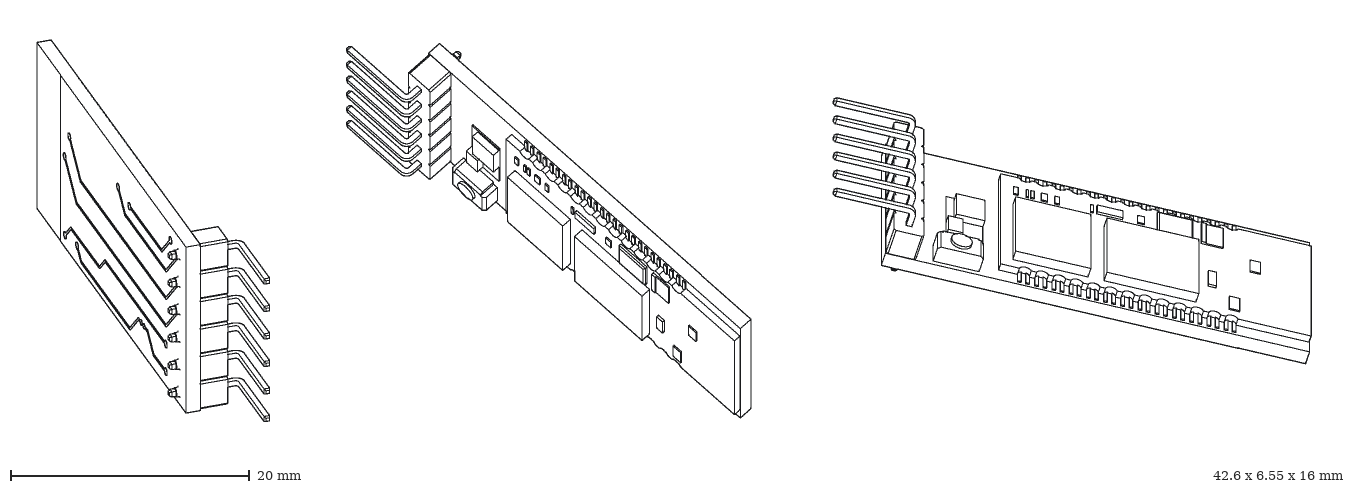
import cadquery as cq


BOARD_LENGTH = 36.95
BOARD_WIDTH = 16.0
BOARD_THICKNESS = 1.3
MASK_START = 5.9
MASK_THICKNESS = 0.03

COPPER_HEIGHT = 0.03
TRACE_WIDTH = 0.2
VIA_DIAMETER = 0.65
JUMPER_PAD_DIAMETER = 0.5

PIN_COUNT = 6
PIN_PITCH = 2.65
PIN_X = 35.6
PIN_WIDTH = 0.5
PIN_REACH = 42.58
PIN_TOP = 5.5
PIN_TAIL = 1.05
PIN_TIP_LENGTH = 0.2
PIN_TIP_WIDTH = 0.3
PIN_BEND_RADIUS = 0.5
HEADER_DEPTH = 2.6
HEADER_HEIGHT = 2.45
HEADER_CHAMFER = 0.18

SOLDER_BASE_RADIUS = 0.66
SOLDER_NECK_RADIUS = 0.4
SOLDER_FILLET_HEIGHT = 0.3
SOLDER_HEIGHT = 0.47

MODULE_START = 0.05
MODULE_END = 27.1
MODULE_WIDTH = 13.2
MODULE_THICKNESS = 0.65
CASTELLATION_COUNT = 13
CASTELLATION_PITCH = 1.5
CASTELLATION_START = 6.95
CASTELLATION_DIAMETER = 1.1
CASTELLATION_OFFSET = 0.2
PAD_EDGE = 7.7
PAD_WIDTH = 1.03
PAD_NOTCH_WIDTH = 0.4
PAD_THICKNESS = 0.12

BUTTON_X = 30.8
BUTTON_LENGTH = 4.0
BUTTON_HEIGHT = 1.55
BUTTON_BACK = -7.52
BUTTON_FRONT = -5.2
BUTTON_END_CHAMFER = 0.25
NOSE_LENGTH = 3.1
NOSE_FRONT = -4.82
NOSE_CHAMFER = 0.25
ACTUATOR_DIAMETER = 1.8
ACTUATOR_TOP = 1.8

BOARD_TOP = BOARD_THICKNESS
MODULE_TOP = BOARD_TOP + MODULE_THICKNESS
PIN_AXIS_Y = PIN_TOP - PIN_WIDTH / 2
PIN_ROWS = [(i - (PIN_COUNT - 1) / 2) * PIN_PITCH for i in range(PIN_COUNT)]


def block(x_range, y_range, z_range):
    """Box between the given limits."""
    spans = [high - low for low, high in (x_range, y_range, z_range)]
    return cq.Workplane().box(*spans, centered=False).translate((x_range[0], y_range[0], z_range[0]))


def plane_at(y):
    """Work plane facing -Y at the given height, with local X, Y along world X, Z."""
    return cq.Workplane("XZ", origin=(0, y, 0))


def disc(center, diameter, y_low, y_high):
    """Round plate along Y with its centre given as (X, Z)."""
    return plane_at(y_high).center(*center).circle(diameter / 2).extrude(y_high - y_low)


def carrier_board():
    half = BOARD_WIDTH / 2
    board = block((0, BOARD_LENGTH), (MASK_THICKNESS, BOARD_TOP), (-half, half))
    mask = block((MASK_START, BOARD_LENGTH), (0, MASK_THICKNESS), (-half, half))
    return board.union(mask)


def level_route(start, level, end):
    """Path running along one Z level, joined to both end points by 45 degree legs."""
    first_bend = (start[0] + abs(start[1] - level), level)
    last_bend = (end[0] - abs(end[1] - level), level)
    points = [start, first_bend, last_bend, end]
    return [p for i, p in enumerate(points) if i == 0 or p != points[i - 1]]


def trace(points):
    """Raised copper track along a path of (X, Z) points."""
    wire = plane_at(0).polyline(points).wire()
    return wire.offset2D(TRACE_WIDTH / 2).extrude(COPPER_HEIGHT)


def back_copper():
    """Tracks, vias and jumper pads; the top three pins each have their own track."""
    leg = 3.5
    top_rows = PIN_ROWS[::-1]
    vias = [(20.2, 4.85), (8.15, 3.28), (7.0, 0.75)]
    routes = [level_route(via, z - leg, (PIN_X, z)) for via, z in zip(vias, top_rows)]

    bridge = [(23.0, 4.5), (33.15, top_rows[0])]
    routes.append(level_route(bridge[0], bridge[0][1], bridge[1]))

    far_x = 32.0
    stepped = [(7.1, -6.78), (far_x, PIN_ROWS[1])]
    routes.append(level_route(stepped[0], -5.33, (17.0, PIN_ROWS[1])) + [stepped[1]])

    jumper_z = -5.14
    jumper_pads = [(25.92, jumper_z), (26.6, jumper_z)]
    jumped = [(10.07, -6.2), (far_x, PIN_ROWS[0])]
    routes.append(level_route(jumped[0], -7.23, (25.25, jumper_z)) + [jumper_pads[0]])
    jumper_bend = (27.5, jumper_z)
    drop = jumper_z - PIN_ROWS[0]
    routes.append([jumper_pads[1], jumper_bend, (jumper_bend[0] + drop, PIN_ROWS[0]), jumped[1]])

    copper = trace(routes[0])
    for route in routes[1:]:
        copper = copper.union(trace(route))
    for center in vias + bridge + stepped + jumped:
        copper = copper.union(disc(center, VIA_DIAMETER, -COPPER_HEIGHT, 0))
    for center in jumper_pads:
        copper = copper.union(disc(center, JUMPER_PAD_DIAMETER, -COPPER_HEIGHT, 0))
    return copper


def pin():
    """One right-angle pin on Z = 0, with a tapered tip at each end."""
    bend_start = PIN_AXIS_Y - PIN_BEND_RADIUS
    shank_start = -PIN_TAIL + PIN_TIP_LENGTH
    shank_end = PIN_REACH - PIN_TIP_LENGTH
    bend_mid = PIN_BEND_RADIUS * (1 - 0.5 ** 0.5)
    path = (
        cq.Workplane("XY")
        .moveTo(PIN_X, shank_start)
        .lineTo(PIN_X, bend_start)
        .threePointArc(
            (PIN_X + bend_mid, PIN_AXIS_Y - bend_mid),
            (PIN_X + PIN_BEND_RADIUS, PIN_AXIS_Y),
        )
        .lineTo(shank_end, PIN_AXIS_Y)
    )
    tail_plane = cq.Workplane("XZ", origin=(PIN_X, shank_start, 0))
    end_plane = cq.Workplane("YZ", origin=(shank_end, PIN_AXIS_Y, 0))
    shank = tail_plane.rect(PIN_WIDTH, PIN_WIDTH).sweep(path)
    return shank.union(pin_tip(tail_plane)).union(pin_tip(end_plane))


def pin_tip(plane):
    """Tapered pin tip standing on the given plane."""
    root = plane.rect(PIN_WIDTH, PIN_WIDTH)
    return root.workplane(offset=PIN_TIP_LENGTH).rect(PIN_TIP_WIDTH, PIN_TIP_WIDTH).loft()


def solder_joint():
    """Solder cone with a hollow flank around a pin tail on Z = 0."""
    flare = SOLDER_BASE_RADIUS - SOLDER_NECK_RADIUS
    flank_mid = (SOLDER_NECK_RADIUS + 0.3 * flare, -0.3 * SOLDER_FILLET_HEIGHT)
    return (
        cq.Workplane("XY", origin=(PIN_X, 0, 0))
        .moveTo(0, 0)
        .lineTo(SOLDER_BASE_RADIUS, 0)
        .threePointArc(flank_mid, (SOLDER_NECK_RADIUS, -SOLDER_FILLET_HEIGHT))
        .lineTo(SOLDER_NECK_RADIUS, -SOLDER_HEIGHT)
        .lineTo(0, -SOLDER_HEIGHT)
        .close()
        .revolve(360, (0, 0, 0), (0, 1, 0))
    )


def header_cell():
    return (
        plane_at(BOARD_TOP + HEADER_HEIGHT)
        .center(PIN_X, 0)
        .rect(HEADER_DEPTH, PIN_PITCH)
        .extrude(HEADER_HEIGHT)
        .edges("|Y")
        .chamfer(HEADER_CHAMFER)
    )


def pin_header():
    position = header_cell().union(pin()).union(solder_joint())
    header = position.translate((0, 0, PIN_ROWS[0]))
    for z in PIN_ROWS[1:]:
        header = header.union(position.translate((0, 0, z)))
    return header


def radio_module():
    """Module board with round notches and solder pads along both long edges."""
    edge = MODULE_WIDTH / 2
    module = block((MODULE_START, MODULE_END), (BOARD_TOP, MODULE_TOP), (-edge, edge))
    for i in range(CASTELLATION_COUNT):
        x = CASTELLATION_START + i * CASTELLATION_PITCH
        for side in (-1, 1):
            center = (x, side * (edge + CASTELLATION_OFFSET))
            module = module.cut(disc(center, CASTELLATION_DIAMETER, BOARD_TOP, MODULE_TOP))
            module = module.union(castellation_pad(x, side))
    return module


def castellation_pad(x, side):
    """Solder pad split by a central notch, under one castellation."""
    pad_start = MODULE_WIDTH / 2 + CASTELLATION_OFFSET - CASTELLATION_DIAMETER / 2
    z_limits = sorted((side * pad_start, side * PAD_EDGE))
    y_limits = (BOARD_TOP, BOARD_TOP + PAD_THICKNESS)
    half = PAD_WIDTH / 2
    notch_half = PAD_NOTCH_WIDTH / 2
    left_lug = block((x - half, x - notch_half), y_limits, z_limits)
    right_lug = block((x + notch_half, x + half), y_limits, z_limits)
    return left_lug.union(right_lug)


def module_parts():
    """Shield cans, chip and passives on top of the module."""
    can_height = 0.9
    can_z = (-5.55, 2.4)
    part_height = 0.22
    strip_height = 0.12
    passive_z = (4.0, 5.0)
    edge_row_z = (3.2, 6.0)

    parts = []
    for x_range in ((10.1, 18.1), (19.5, 26.05)):
        parts.append((x_range, can_height, can_z))
    parts.append(((8.35, 9.05), part_height, (-2.8, -0.8)))
    parts.append(((9.25, 9.65), part_height, edge_row_z))
    parts.append(((16.5, 18.75), part_height, passive_z))
    parts.append(((4.5, 5.4), strip_height, (0.7, 2.3)))
    parts.append(((6.3, 7.2), strip_height, (-5.5, -3.7)))
    parts.append(((7.75, 9.6), strip_height, edge_row_z))
    strip_ranges = [
        (14.6, 15.2),
        (19.05, 19.3),
        (22.0, 22.4),
        (23.05, 23.6),
        (24.2, 24.5),
        (24.7, 24.9),
        (25.6, 26.0),
    ]
    for x_range in strip_ranges:
        parts.append((x_range, strip_height, passive_z))

    group = memory_chip()
    for x_range, height, z_range in parts:
        group = group.union(block(x_range, (MODULE_TOP, MODULE_TOP + height), z_range))
    return group


def memory_chip():
    """Chip with a sloped upper rim."""
    height = 0.34
    slope_height = 0.14
    slope_width = 0.15
    body = block((10.4, 13.5), (MODULE_TOP, MODULE_TOP + height), (3.1, 6.0))
    return body.faces(">Y").chamfer(slope_height, slope_width)


def push_button():
    top = BOARD_TOP + BUTTON_HEIGHT
    half = BUTTON_LENGTH / 2
    body = block((BUTTON_X - half, BUTTON_X + half), (BOARD_TOP, top), (BUTTON_BACK, BUTTON_FRONT))
    body = body.edges("|Z and >Y").chamfer(BUTTON_END_CHAMFER)

    nose_half = NOSE_LENGTH / 2
    nose = block((BUTTON_X - nose_half, BUTTON_X + nose_half), (BOARD_TOP, top), (BUTTON_FRONT, NOSE_FRONT))
    nose = nose.edges(">Y and >Z").chamfer(NOSE_CHAMFER)

    middle = (BUTTON_X, (BUTTON_BACK + NOSE_FRONT) / 2)
    actuator = disc(middle, ACTUATOR_DIAMETER, top, BOARD_TOP + ACTUATOR_TOP)
    return body.union(nose).union(actuator)


def carrier_parts():
    """Two low components beside the module, on a common solder pad."""
    height = 0.77
    left, right = 28.5, 31.7
    back, front = -3.5, 2.2
    regulator_end = 31.0
    regulator_z = (-1.0, 2.0)
    capacitor_start = 30.4
    capacitor_end_z = -1.5

    y_range = (BOARD_TOP, BOARD_TOP + height)
    regulator = block((left, regulator_end), y_range, regulator_z)
    capacitor = block((capacitor_start, right), y_range, (back, capacitor_end_z))
    pad = block((left, right), (BOARD_TOP, BOARD_TOP + PAD_THICKNESS), (back, front))
    return regulator.union(capacitor).union(pad)


result = carrier_board()
for group in (
    back_copper(),
    pin_header(),
    radio_module(),
    module_parts(),
    push_button(),
    carrier_parts(),
):
    result = result.union(group)